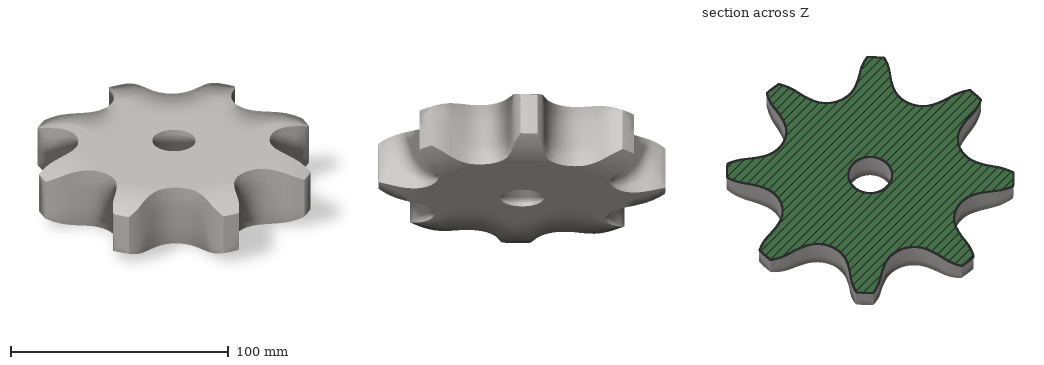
import cadquery as cq
import math

tooth_count = 8
chain_pitch = 44.4
roller_diameter = 28.0
seating_clearance = 0.039
outer_size = 124.7
thickness = 29.5
bore_diameter = 20.0
flat_face_radius = 45.5
relief_radius = chain_pitch

pitch_radius = chain_pitch / (2 * math.sin(math.pi / tooth_count))
seating_radius = 0.5025 * roller_diameter + seating_clearance
working_radius = 1.3025 * roller_diameter + seating_clearance
seating_angle = math.radians(35 + 60 / tooth_count)
working_angle = math.radians(18 - 56 / tooth_count)
topping_angle = math.radians(17 - 64 / tooth_count)
topping_radius = roller_diameter * (
    0.8 * math.cos(working_angle) + 1.4 * math.cos(topping_angle) - 1.3025
) - seating_clearance
straight_length = roller_diameter * (
    1.4 * math.sin(topping_angle) - 0.8 * math.sin(working_angle)
)


def offset(point, distance, angle):
    """Move a point by a distance along an angle measured from +X."""
    return (point[0] + distance * math.cos(angle), point[1] + distance * math.sin(angle))


def rotate(point, angle):
    """Turn a point about the sprocket axis."""
    return offset((0, 0), math.hypot(*point), math.atan2(point[1], point[0]) + angle)


def mirror(point):
    """Reflect a point across the centre line of the gap on +Y."""
    return (-point[0], point[1])


seat_center = (0, pitch_radius)
seat_bottom = (0, pitch_radius - seating_radius)
seat_end = offset(seat_center, seating_radius, -seating_angle)
working_center = offset(seat_end, working_radius, math.pi - seating_angle)
working_mid = offset(working_center, working_radius, working_angle / 2 - seating_angle)
flank_angle = working_angle - seating_angle
working_end = offset(working_center, working_radius, flank_angle)
topping_start = offset(working_end, straight_length, flank_angle + math.pi / 2)
topping_center = offset(topping_start, topping_radius, flank_angle)

tip_angle = math.pi - math.asin((outer_size / 2 - topping_center[1]) / topping_radius)
tip_corner = offset(topping_center, topping_radius, tip_angle)
tip_radius = math.hypot(*tip_corner)
topping_mid = offset(topping_center, topping_radius, (flank_angle + math.pi + tip_angle) / 2)


def toothed_blank():
    """Extrude the closed outline of all gaps and tooth tips."""
    step = 2 * math.pi / tooth_count
    outline = cq.Workplane("XY").workplane(offset=-thickness / 2).moveTo(*mirror(tip_corner))
    for index in range(tooth_count):
        turn = -index * step
        tip_mid = rotate((0, tip_radius), turn - step / 2)
        next_corner = rotate(mirror(tip_corner), turn - step)
        outline = (
            outline
            .threePointArc(rotate(mirror(topping_mid), turn), rotate(mirror(topping_start), turn))
            .lineTo(*rotate(mirror(working_end), turn))
            .threePointArc(rotate(mirror(working_mid), turn), rotate(mirror(seat_end), turn))
            .threePointArc(rotate(seat_bottom, turn), rotate(seat_end, turn))
            .threePointArc(rotate(working_mid, turn), rotate(working_end, turn))
            .lineTo(*rotate(topping_start, turn))
            .threePointArc(rotate(topping_mid, turn), rotate(tip_corner, turn))
            .threePointArc(tip_mid, next_corner)
        )
    return outline.close().extrude(thickness)


def relief_envelope():
    """Revolve the disc section whose rim curves in on both faces."""
    half = thickness / 2
    relief_center = (flat_face_radius, half - relief_radius)
    rim_angle = math.acos((tip_radius - flat_face_radius) / relief_radius)
    relief_mid = offset(relief_center, relief_radius, (math.pi / 2 + rim_angle) / 2)
    relief_end = offset(relief_center, relief_radius, rim_angle)
    return (
        cq.Workplane("XZ")
        .moveTo(0, -half)
        .lineTo(flat_face_radius, -half)
        .threePointArc((relief_mid[0], -relief_mid[1]), (relief_end[0], -relief_end[1]))
        .lineTo(*relief_end)
        .threePointArc(relief_mid, (flat_face_radius, half))
        .lineTo(0, half)
        .close()
        .revolve(360, (0, 0, 0), (0, 1, 0))
    )


bore = cq.Workplane("XY").circle(bore_diameter / 2).extrude(thickness / 2, both=True)
result = toothed_blank().intersect(relief_envelope()).cut(bore)